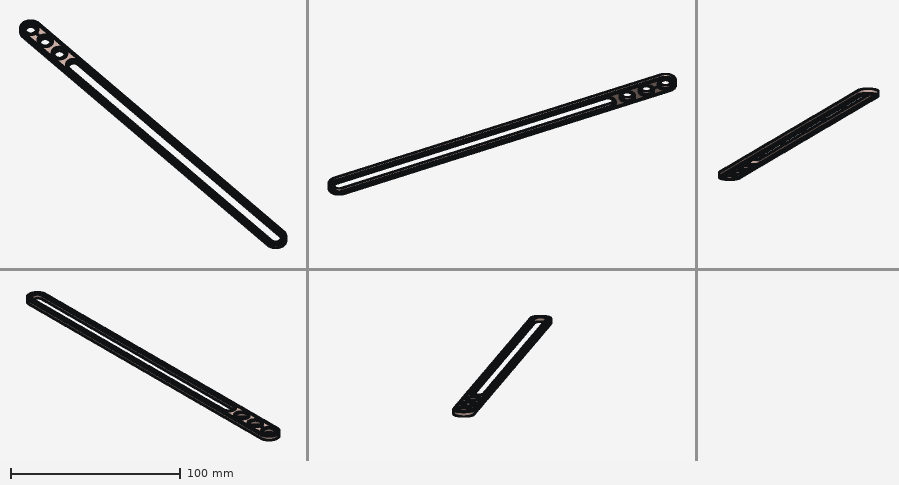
import cadquery as cq

length = 225.0
width = 12.5
thickness = 3.2
edge_chamfer = 0.34

hole_diameter = 7.0
hole_count = 3
slot_offset = 37.4

outer_rim_width = 1.1
opening_rim_diameter = 9.2
recess_depth = 0.2

rib_width = 0.2

pitch = slot_offset / hole_count
first_hole_x = -(length - width) / 2
slot_start_x = first_hole_x + slot_offset
slot_end_x = -first_hole_x


def rounded_bar(inset, height):
    """Bar with semicircular ends, standing on Z = 0, its outline moved in by inset."""
    return cq.Workplane("XY").slot2D(length - 2 * inset, width - 2 * inset).extrude(height)


def openings(diameter, height):
    """Solid filling the row of round holes and the slot, all of one width, standing on Z = 0."""
    hole_centres = [(first_hole_x + i * pitch, 0) for i in range(hole_count)]
    holes = cq.Workplane("XY").pushPoints(hole_centres).circle(diameter / 2).extrude(height)
    slot = (
        cq.Workplane("XY")
        .center((slot_start_x + slot_end_x) / 2, 0)
        .slot2D(slot_end_x - slot_start_x + diameter, diameter)
        .extrude(height)
    )
    return holes.union(slot)


def chamfered_bar():
    """Bar with its openings cut through and every top and bottom edge chamfered."""
    bar = rounded_bar(0, thickness).cut(openings(hole_diameter, thickness))
    return bar.faces("|Z").edges().chamfer(edge_chamfer)


def recess():
    """Material removed from one face, standing on Z = 0."""
    rib = (
        cq.Workplane("XY")
        .center(first_hole_x + pitch / 2, 0)
        .rect(pitch, rib_width)
        .extrude(recess_depth)
    )
    rims = openings(opening_rim_diameter, recess_depth)
    return rounded_bar(outer_rim_width, recess_depth).cut(rims).cut(rib)


bottom_recess = recess()
top_recess = bottom_recess.translate((0, 0, thickness - recess_depth))
centred = (0, 0, -thickness / 2)
result = chamfered_bar().cut(bottom_recess).cut(top_recess).translate(centred)